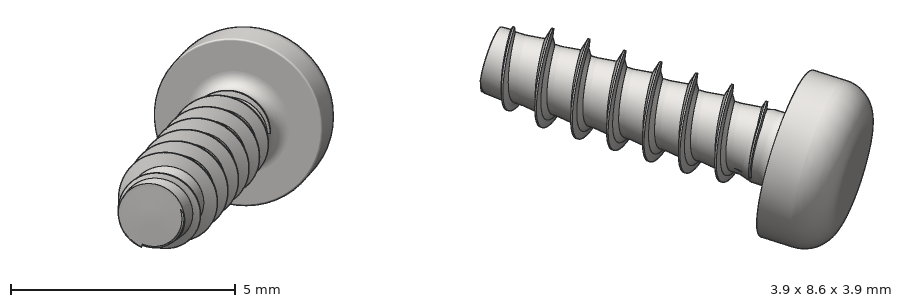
import cadquery as cq
import math


head_radius = 1.95
head_height = 1.6
dome_radius = 0.8
rim_radius = 0.04

shank_length = 7.0
neck_radius = 0.85
neck_fillet = 0.35
neck_end = 0.55
neck_taper = 0.3
core_radius = 0.76
tip_radius = 0.74
tip_taper = 0.25
tip_bevel = 0.04
tip_bevel_height = 0.02
tip_cone_height = 0.02

pitch = 0.85
thread_radius = 1.1
thread_origin = 0.4065
full_relief_radius = 0.815
buried_radius = 0.6
relief_end = 0.54
half_crest = 0.02
flank_depth = 0.05
relief_overrun = 0.04
points_per_turn = 24


def thread_section(crest, crest_radius, head_foot, head_break, break_radius, tip_foot, relief_radius):
    """Thread outline as (axial distance toward the tip, radius) pairs."""
    flank_slope = (break_radius - core_radius) / (head_break - head_foot)
    sunk_foot = head_foot - flank_depth / flank_slope
    relief_slope = (core_radius - relief_radius) / (relief_end - tip_foot)
    sunk_relief = core_radius + relief_overrun * relief_slope
    return [
        (sunk_foot, buried_radius),
        (sunk_foot, core_radius - flank_depth),
        (head_break, break_radius),
        (crest - half_crest, crest_radius),
        (crest + half_crest, crest_radius),
        (tip_foot, relief_radius),
        (relief_end + relief_overrun, sunk_relief),
        (relief_end + relief_overrun, buried_radius),
    ]


full_section = thread_section(
    crest=0.0,
    crest_radius=thread_radius,
    head_foot=-0.155,
    head_break=-0.06,
    break_radius=0.905,
    tip_foot=0.105,
    relief_radius=full_relief_radius,
)
start_section = thread_section(
    crest=0.13,
    crest_radius=0.9,
    head_foot=0.08,
    head_break=0.10,
    break_radius=0.83,
    tip_foot=0.17,
    relief_radius=full_relief_radius,
)
lead_section = thread_section(
    crest=0.0,
    crest_radius=0.945,
    head_foot=-0.08,
    head_break=-0.045,
    break_radius=0.83,
    tip_foot=0.06,
    relief_radius=full_relief_radius,
)
end_section = thread_section(
    crest=0.0,
    crest_radius=0.785,
    head_foot=-0.04,
    head_break=-0.03,
    break_radius=0.775,
    tip_foot=0.035,
    relief_radius=0.77,
)

thread_stations = [
    (0.0, start_section),
    (0.25, lead_section),
    (1.25, full_section),
    (6.35, full_section),
    (7.7, end_section),
]


def make_body():
    """Head, neck, core and tip as one revolved solid."""
    dome_start = head_height - dome_radius
    diagonal = math.sqrt(0.5)
    dome_center_r = head_radius - dome_radius
    dome_mid = (dome_center_r + dome_radius * diagonal, dome_start + dome_radius * diagonal)
    rim_mid = (head_radius - rim_radius * (1 - diagonal), rim_radius * (1 - diagonal))
    fillet_mid = (neck_radius + neck_fillet * (1 - diagonal), -neck_fillet * (1 - diagonal))
    outline = (
        cq.Workplane("XY")
        .moveTo(0, head_height)
        .lineTo(dome_center_r, head_height)
        .threePointArc(dome_mid, (head_radius, dome_start))
        .lineTo(head_radius, rim_radius)
        .threePointArc(rim_mid, (head_radius - rim_radius, 0))
        .lineTo(neck_radius + neck_fillet, 0)
        .threePointArc(fillet_mid, (neck_radius, -neck_fillet))
        .lineTo(neck_radius, -neck_end)
        .lineTo(core_radius, -neck_end - neck_taper)
        .lineTo(core_radius, -shank_length + tip_taper)
        .lineTo(tip_radius, -shank_length + tip_cone_height + tip_bevel_height)
        .lineTo(tip_radius - tip_bevel, -shank_length + tip_cone_height)
        .lineTo(0, -shank_length)
        .close()
    )
    return outline.revolve(360, (0, 0, 0), (0, 1, 0))


def helix_point(turn, offset, radius):
    """Point on the right-handed helix that starts on +X and winds toward +Z and -Y."""
    angle = 2 * math.pi * turn
    depth = thread_origin + pitch * turn + offset
    return cq.Vector(radius * math.cos(angle), -depth, radius * math.sin(angle))


def helix_edge(start, end, corner):
    """Curve traced by one outline corner between two thread stations."""
    start_turn, start_outline = start
    end_turn, end_outline = end
    steps = math.ceil((end_turn - start_turn) * points_per_turn)
    points = []
    for step in range(steps + 1):
        share = step / steps
        turn = start_turn + share * (end_turn - start_turn)
        offset, radius = (
            a + share * (b - a) for a, b in zip(start_outline[corner], end_outline[corner])
        )
        points.append(helix_point(turn, offset, radius))
    return cq.Edge.makeSpline(points)


def end_cap(station):
    """Flat face closing the thread body at a station."""
    turn, outline = station
    points = [helix_point(turn, offset, radius) for offset, radius in outline]
    return cq.Face.makeFromWires(cq.Wire.makePolygon(points, close=True))


def make_thread():
    """Closed thread body, partly buried in the core."""
    faces = [end_cap(thread_stations[0]), end_cap(thread_stations[-1])]
    for start, end in zip(thread_stations, thread_stations[1:]):
        edges = [helix_edge(start, end, corner) for corner in range(len(full_section))]
        for corner, edge in enumerate(edges):
            faces.append(cq.Face.makeRuledSurface(edges[corner - 1], edge))
    return cq.Workplane(cq.Solid.makeSolid(cq.Shell.makeShell(faces)))


def make_trim():
    """Block that removes whatever the thread leaves beyond the tip."""
    size = 2 * head_radius
    top = -shank_length + tip_cone_height
    return cq.Workplane("XY").box(size, size, size).translate((0, top - size / 2, 0))


thread = make_thread().cut(make_trim())
result = make_body().union(thread).solids()